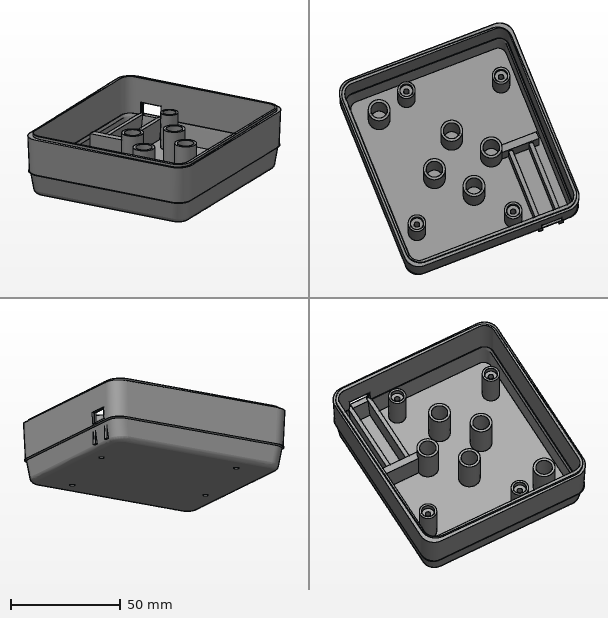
import cadquery as cq

LENGTH_X = 85.5
LENGTH_Y = 94.5
HEIGHT = 29.5

LIP_HEIGHT = 1.2
SHOULDER_Z = HEIGHT - LIP_HEIGHT
STEP_TOP_Z = 11.0
STEP_BOTTOM_Z = 10.4
STEP_TOP_INSET = (0.45, 0.7)
STEP_BOTTOM_INSET = (1.15, 1.35)
BASE_INSET = (2.3, 3.0)
UPPER_RADIUS = 7.0
LOWER_RADIUS = 6.0
BASE_FILLET = 2.5

LIP_INSET_BACK_LEFT = (0.75, 1.0)
LIP_INSET_BACK_RIGHT = (1.3, 1.5)
LIP_INSET_FRONT_RIGHT = (0.75, 1.0)
LIP_INSET_FRONT_LEFT = (1.8, 1.8)
LIP_RADIUS = 7.0

FLOOR_Z = 2.3
LEDGE_TOP_Z = 11.8
LEDGE_BOTTOM_Z = 10.4
CAVITY_TOP_INSET = (2.3, 2.6)
WALL_FOOT_INSET = (2.7, 2.9)
LEDGE_TOP_INSET = (3.0, 3.2)
LEDGE_BOTTOM_INSET = (3.65, 3.5)
FLOOR_INSET = (4.6, 5.1)
CAVITY_RADIUS = 5.0
LOWER_CAVITY_RADIUS = 4.0

POST_TOP_Z = 19.3
LARGE_POST_DIAMETER = 10.0
LARGE_POST_BORE = 7.5
POST_CIRCLE_RADIUS = 14.0
POST_CIRCLE_Y = 4.5
EXTRA_POST = (27.4, -30.7)

SCREW_POST_DIAMETER = 8.0
SCREW_COUNTERBORE = 6.0
SCREW_COUNTERBORE_DEPTH = 2.4
SCREW_HOLE = 2.45
SCREW_POSTS = [(-12.5, 35.8), (30.8, 25.3), (-30.6, -25.4), (12.3, -34.9)]

BAR_TOP_Z = 14.8
RIB_TOP_Z = 12.2
RIB_WIDTH = 2.0
RIB_CENTRES_X = [-32.3, -22.3]
BAR_FRONT_Y = 4.1
BAR_BACK_Y = 7.5
BAR_LEFT_X = -36.4

WINDOW_X = (-32.3, -22.3)
WINDOW_Z = (LEDGE_TOP_Z, 17.3)
WINDOW_RECESS_MARGIN = 0.4
WINDOW_RECESS_BACK_Y = 45.6


def tapered(bottom_z, bottom_inset, top_z, top_inset, radius):
    """Solid between two rounded rectangles of the same corner radius."""
    sections = []
    for z, inset in ((bottom_z, bottom_inset), (top_z, top_inset)):
        rectangle = cq.Sketch().rect(LENGTH_X - 2 * inset[0], LENGTH_Y - 2 * inset[1])
        sketch = rectangle.vertices().fillet(radius)
        sections.append(sketch.moved(cq.Location(cq.Vector(0, 0, z))))
    return cq.Workplane("XY").placeSketch(*sections).loft(ruled=True)


def box_between(x_range, y_range, z_range):
    """Axis-aligned block given its limits."""
    size = [limits[1] - limits[0] for limits in (x_range, y_range, z_range)]
    corner = (x_range[0], y_range[0], z_range[0])
    return cq.Workplane("XY").box(*size, centered=False).translate(corner)


def make_lip():
    """Raised lip filled in solid; the cavity opens it later."""
    half_x = LENGTH_X / 2
    half_y = LENGTH_Y / 2
    corners = [
        (-half_x + LIP_INSET_BACK_LEFT[0], half_y - LIP_INSET_BACK_LEFT[1]),
        (half_x - LIP_INSET_BACK_RIGHT[0], half_y - LIP_INSET_BACK_RIGHT[1]),
        (half_x - LIP_INSET_FRONT_RIGHT[0], -half_y + LIP_INSET_FRONT_RIGHT[1]),
        (-half_x + LIP_INSET_FRONT_LEFT[0], -half_y + LIP_INSET_FRONT_LEFT[1]),
    ]
    lip = cq.Workplane("XY").workplane(offset=SHOULDER_Z).polyline(corners).close().extrude(LIP_HEIGHT)
    return lip.edges("|Z").fillet(LIP_RADIUS)


def make_body():
    """Outside of the tray as a solid block."""
    base = tapered(0, BASE_INSET, STEP_BOTTOM_Z, STEP_BOTTOM_INSET, LOWER_RADIUS)
    base = base.faces("<Z").edges().fillet(BASE_FILLET)
    step = tapered(STEP_BOTTOM_Z, STEP_BOTTOM_INSET, STEP_TOP_Z, STEP_TOP_INSET, LOWER_RADIUS)
    upper = tapered(STEP_TOP_Z, STEP_TOP_INSET, SHOULDER_Z, (0, 0), UPPER_RADIUS)
    return base.union(step).union(upper).union(make_lip())


def make_cavity():
    """Space inside the tray."""
    lower = tapered(FLOOR_Z, FLOOR_INSET, LEDGE_BOTTOM_Z, LEDGE_BOTTOM_INSET, LOWER_CAVITY_RADIUS)
    ledge = tapered(LEDGE_BOTTOM_Z, LEDGE_BOTTOM_INSET, LEDGE_TOP_Z, LEDGE_TOP_INSET, LOWER_CAVITY_RADIUS)
    upper = tapered(LEDGE_TOP_Z, WALL_FOOT_INSET, SHOULDER_Z, CAVITY_TOP_INSET, CAVITY_RADIUS)
    mouth = tapered(SHOULDER_Z, CAVITY_TOP_INSET, HEIGHT, CAVITY_TOP_INSET, CAVITY_RADIUS)
    return lower.union(ledge).union(upper).union(mouth)


def cylinders(points, diameter, bottom_z, top_z):
    """Equal upright cylinders at each of the points."""
    plane = cq.Workplane("XY").workplane(offset=bottom_z)
    return plane.pushPoints(points).circle(diameter / 2).extrude(top_z - bottom_z)


def make_ribs():
    """Cross bar and the two ribs, which end inside the window recess."""
    bar_x = (BAR_LEFT_X, -POST_CIRCLE_RADIUS)
    ribs = box_between(bar_x, (BAR_FRONT_Y, BAR_BACK_Y), (FLOOR_Z, BAR_TOP_Z))
    for x in RIB_CENTRES_X:
        x_range = (x - RIB_WIDTH / 2, x + RIB_WIDTH / 2)
        ribs = ribs.union(box_between(x_range, (BAR_BACK_Y, WINDOW_RECESS_BACK_Y), (FLOOR_Z, RIB_TOP_Z)))
    return ribs


def make_window():
    """Cutter reaching from the open space inside through the back wall."""
    outer = box_between(WINDOW_X, (BAR_BACK_Y, LENGTH_Y / 2), WINDOW_Z)
    recess_x = (WINDOW_X[0] - WINDOW_RECESS_MARGIN, WINDOW_X[1] + WINDOW_RECESS_MARGIN)
    recess_z = (WINDOW_Z[0], WINDOW_Z[1] + WINDOW_RECESS_MARGIN)
    return outer.union(box_between(recess_x, (BAR_BACK_Y, WINDOW_RECESS_BACK_Y), recess_z))


large_posts = [
    (POST_CIRCLE_RADIUS, POST_CIRCLE_Y),
    (-POST_CIRCLE_RADIUS, POST_CIRCLE_Y),
    (0, POST_CIRCLE_Y + POST_CIRCLE_RADIUS),
    (0, POST_CIRCLE_Y - POST_CIRCLE_RADIUS),
    EXTRA_POST,
]

tray = make_body().cut(make_cavity()).cut(make_window())
tray = tray.union(make_ribs())
tray = tray.union(cylinders(large_posts, LARGE_POST_DIAMETER, FLOOR_Z, POST_TOP_Z))
tray = tray.union(cylinders(SCREW_POSTS, SCREW_POST_DIAMETER, FLOOR_Z, POST_TOP_Z))
tray = tray.cut(cylinders(large_posts, LARGE_POST_BORE, FLOOR_Z, POST_TOP_Z))
tray = tray.cut(cylinders(SCREW_POSTS, SCREW_COUNTERBORE, POST_TOP_Z - SCREW_COUNTERBORE_DEPTH, POST_TOP_Z))
result = tray.cut(cylinders(SCREW_POSTS, SCREW_HOLE, 0, POST_TOP_Z))